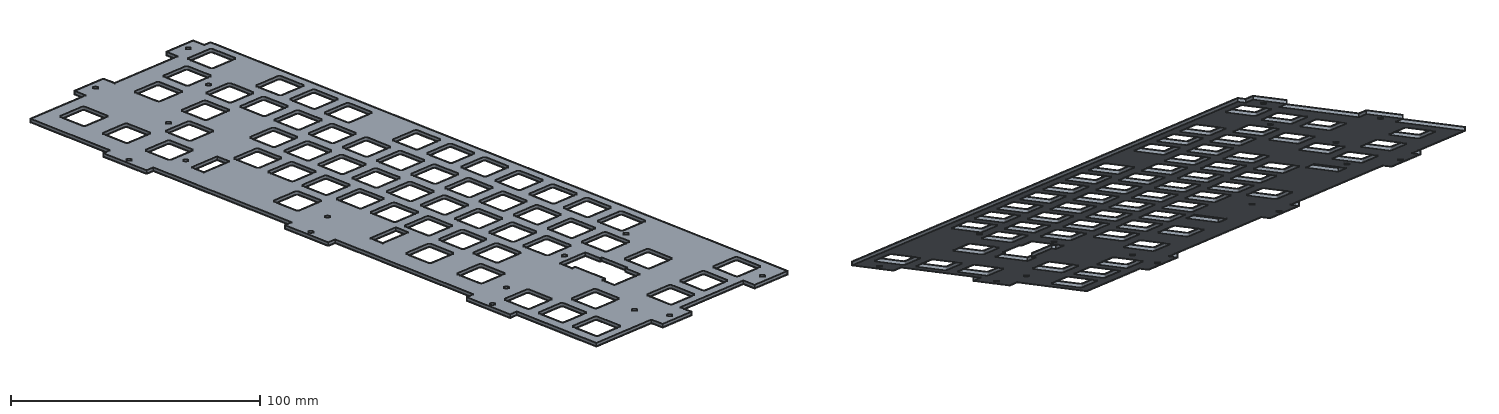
import cadquery as cq

length = 328.0
depth = 108.0
thickness = 1.6

side_tab_reach = 6.2
front_tab_reach = 4.0
front_tab_width = 24.3
front_tab_spacing = 101.5
back_tab_span = (3.5, 19.0)
middle_tab_span = (55.5, 72.2)

fifteen_key_span = 285.8
pitch = fifteen_key_span / 15
back_row_inset = 11.0
key_fill = 0.735
key_size = key_fill * pitch
corner_radius = 1.0

stabiliser_width = 7.0
stabiliser_height = 14.8
stabiliser_shift = 1.48
space_stabiliser_reach = 50.0
enter_stabiliser_reach = 11.8

hole_diameter = 2.2
side_hole_inset = 4.0
side_hole_rows = (10.5, 64.0)
front_hole_inset = 2.45

right_end = length / 2
back_edge = depth / 2
panel_right = right_end - side_tab_reach
panel_front = -back_edge + front_tab_reach

right_column = 15.375
arrow_row = 4.25
enter_key = (right_column - 2, 2)
space_key = (6.375, 4)

key_rows = [
    (0, [0, 2, 3, 4, 6, 7, 8, 9, 10, 11, 12, right_column]),
    (1, [0.25] + [1.5 + i for i in range(12)] + [13.75, right_column]),
    (2, [0.375, 1.75] + [3.75 + i for i in range(9)] + [right_column]),
    (3, [2.25] + [4.25 + i for i in range(8)]),
    (4, [0.125, 1.375, 2.625, space_key[0], 10.25, 11.75]),
    (arrow_row - 1, [right_column - 1]),
    (arrow_row, [right_column - 2, right_column - 1, right_column]),
]

panel_holes = [
    (-129.5, 23.5), (-115.0, -14.5), (-84.5, -36.0), (-5.5, -36.0),
    (92.2, 35.0), (89.2, 2.53), (146.3, -16.0), (94.2, -36.0),
]


def key_position(column, row):
    """Centre of the key at the given grid column and row."""
    x = (column - right_column / 2) * pitch
    y = back_edge - back_row_inset - row * pitch
    return x, y


def block(x_min, x_max, y_min, y_max):
    """Rectangular block through the plate thickness, with its base on the XY plane."""
    return (
        cq.Workplane("XY")
        .center((x_min + x_max) / 2, (y_min + y_max) / 2)
        .rect(x_max - x_min, y_max - y_min)
        .extrude(thickness)
    )


def cutter(center, width, height):
    """Block for a rectangular window centred on a point."""
    x, y = center
    return block(x - width / 2, x + width / 2, y - height / 2, y + height / 2)


def make_panel():
    """Main panel with its side and front mounting tabs."""
    panel = block(-panel_right, panel_right, panel_front, back_edge)
    for near, far in (back_tab_span, middle_tab_span):
        panel = panel.union(block(-right_end, right_end, back_edge - far, back_edge - near))
    panel = panel.union(block(0, right_end, back_edge - back_tab_span[1], back_edge))
    for i in (-1, 0, 1):
        x = i * front_tab_spacing
        half_width = front_tab_width / 2
        panel = panel.union(block(x - half_width, x + half_width, -back_edge, 0))
    return panel


def cut_keys(plate):
    """Square switch windows with slightly rounded corners."""
    centers = [key_position(column, row) for row, columns in key_rows for column in columns]
    windows = (
        cq.Workplane("XY")
        .pushPoints(centers)
        .rect(key_size, key_size)
        .extrude(thickness)
        .edges("|Z")
        .fillet(corner_radius)
    )
    return plate.cut(windows)


def cut_space_stabilisers(plate):
    """Slots either side of the space key."""
    x, y = key_position(*space_key)
    for side in (-1, 1):
        center = (x + side * space_stabiliser_reach, y + stabiliser_shift)
        plate = plate.cut(cutter(center, stabiliser_width, stabiliser_height))
    return plate


def cut_enter_opening(plate):
    """Enter key window joined to its two stabiliser wings."""
    x, y = key_position(*enter_key)
    opening = cutter((x, y), key_size, key_size)
    channel_front = y - key_size / 2
    channel_back = y - stabiliser_shift + stabiliser_height / 2
    left, right = x - enter_stabiliser_reach, x + enter_stabiliser_reach
    opening = opening.union(block(left, right, channel_front, channel_back))
    for side in (-1, 1):
        center = (x + side * enter_stabiliser_reach, y - stabiliser_shift)
        opening = opening.union(cutter(center, stabiliser_width, stabiliser_height))
    return plate.cut(opening)


def cut_screw_holes(plate):
    """Round holes in the tabs and in the panel."""
    points = list(panel_holes)
    for side in (-1, 1):
        for near in side_hole_rows:
            points.append((side * (right_end - side_hole_inset), back_edge - near))
    for i in (-1, 0, 1):
        points.append((i * front_tab_spacing, -back_edge + front_hole_inset))
    holes = cq.Workplane("XY").pushPoints(points).circle(hole_diameter / 2).extrude(thickness)
    return plate.cut(holes)


plate = make_panel()
plate = cut_keys(plate)
plate = cut_space_stabilisers(plate)
plate = cut_enter_opening(plate)
result = cut_screw_holes(plate)